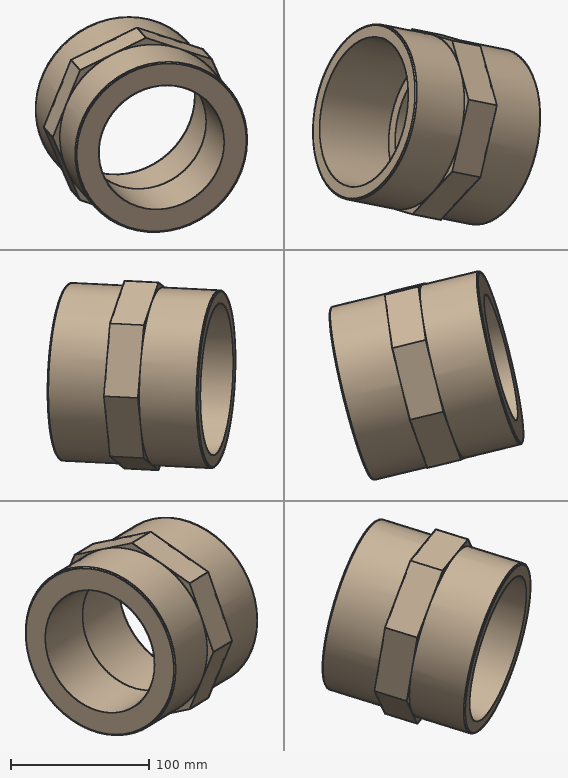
import cadquery as cq

length = 111.4
body_diameter = 129.0
end_chamfer = 1.0

band_width = 25.1
band_corner_diameter = 139.5
band_sides = 8

bore_diameter = 93.8
socket_diameter = 110.0
socket_depth = 61.4


def bar_along_x(diameter, start, size):
    """Round bar on the X axis, running from start towards +X."""
    return cq.Workplane("YZ", origin=(start, 0, 0)).circle(diameter / 2).extrude(size)


def end_sleeve(end_face):
    """Sleeve blank from the band side to an end face, chamfered around that end."""
    sleeve_length = (length - band_width) / 2
    if end_face == "<X":
        start = -length / 2
    else:
        start = band_width / 2
    sleeve = bar_along_x(body_diameter, start, sleeve_length)
    return sleeve.faces(end_face).edges().chamfer(end_chamfer)


band = (
    cq.Workplane("YZ", origin=(-band_width / 2, 0, 0))
    .polygon(band_sides, band_corner_diameter)
    .extrude(band_width)
)

body = band.union(end_sleeve("<X")).union(end_sleeve(">X"))

bore = bar_along_x(bore_diameter, -length / 2, length)
socket = bar_along_x(socket_diameter, -length / 2, socket_depth)
result = body.cut(bore).cut(socket)